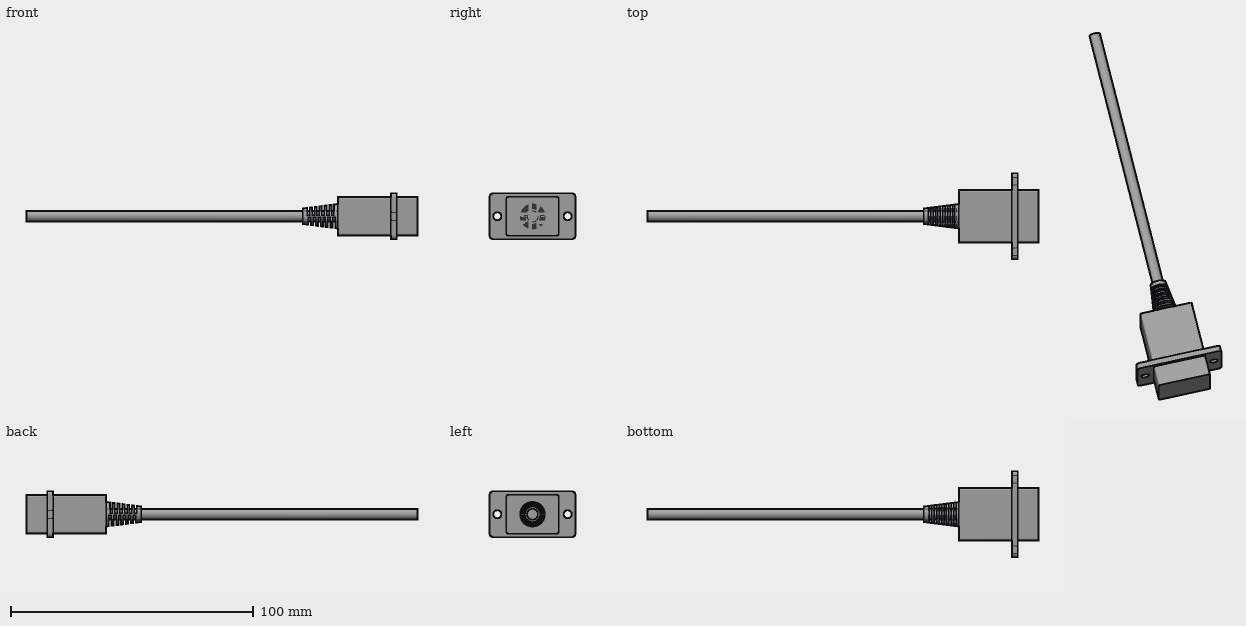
import cadquery as cq

TOTAL_LENGTH = 161.5
HOUSING_LENGTH = 33.0
BOOT_LENGTH = 14.5
HOUSING_START = TOTAL_LENGTH - HOUSING_LENGTH
BOOT_START = HOUSING_START - BOOT_LENGTH

CABLE_DIAMETER = 4.5

BOOT_TIP_DIAMETER = 6.5
BOOT_BASE_DIAMETER = 10.2
SLOT_COUNT = 6
SLOT_WIDTH = 1.0
SLOT_PITCH = 2 * SLOT_WIDTH
LOWER_SLOT_SHIFT = SLOT_WIDTH / 2
FIRST_SLOT_OFFSET = 2.0
WEB_THICKNESS = SLOT_WIDTH

HOUSING_WIDTH = 21.8
HOUSING_HEIGHT = 16.0
HOUSING_EDGE_RADIUS = 1.0

FLANGE_THICKNESS = 2.5
FLANGE_OFFSET = 22.0
FLANGE_WIDTH = 35.5
FLANGE_HEIGHT = 19.0
FLANGE_CORNER_RADIUS = 1.6
SCREW_HOLE_DIAMETER = 3.2
SCREW_HOLE_SPACING = 29.0


def plane_across_cable(x):
    """Plane at x, square to the cable axis, extruding toward +X."""
    return cq.Workplane("YZ", origin=(x, 0, 0))


def make_cable():
    """Plain round cable that runs through the boot and ends at the housing."""
    return plane_across_cable(0).circle(CABLE_DIAMETER / 2).extrude(HOUSING_START)


def boot_slot(x, side):
    """Slot above (side = 1) or below (side = -1) the web, open down to the cable."""
    slot_height = BOOT_BASE_DIAMETER
    slot_center_height = (WEB_THICKNESS + slot_height) / 2
    return (
        plane_across_cable(x)
        .center(0, side * slot_center_height)
        .rect(2 * BOOT_BASE_DIAMETER, slot_height)
        .extrude(SLOT_WIDTH)
    )


def make_boot():
    """Tapered sleeve on the cable, with staggered upper and lower slots on each side of a flat web."""
    profile = [
        (BOOT_START, CABLE_DIAMETER / 2),
        (BOOT_START, BOOT_TIP_DIAMETER / 2),
        (HOUSING_START, BOOT_BASE_DIAMETER / 2),
        (HOUSING_START, CABLE_DIAMETER / 2),
    ]
    boot = cq.Workplane("XY").polyline(profile).close().revolve(360, (0, 0, 0), (1, 0, 0))
    for index in range(SLOT_COUNT):
        slot_start = BOOT_START + FIRST_SLOT_OFFSET + index * SLOT_PITCH
        boot = boot.cut(boot_slot(slot_start, 1))
        boot = boot.cut(boot_slot(slot_start + LOWER_SLOT_SHIFT, -1))
    return boot


def make_housing():
    """Rectangular connector block with a two-hole mounting flange."""
    block = (
        plane_across_cable(HOUSING_START)
        .rect(HOUSING_WIDTH, HOUSING_HEIGHT)
        .extrude(HOUSING_LENGTH)
        .edges("|X")
        .fillet(HOUSING_EDGE_RADIUS)
    )
    flange = (
        plane_across_cable(HOUSING_START + FLANGE_OFFSET)
        .rect(FLANGE_WIDTH, FLANGE_HEIGHT)
        .extrude(FLANGE_THICKNESS)
        .edges("|X")
        .fillet(FLANGE_CORNER_RADIUS)
        .faces("<X")
        .workplane(centerOption="CenterOfBoundBox")
        .rarray(SCREW_HOLE_SPACING, 1.6, 2, 1)
        .hole(SCREW_HOLE_DIAMETER)
    )
    return block.union(flange)


cable = make_cable()
boot = make_boot()
housing = make_housing()

result = cq.Compound.makeCompound([cable.val(), boot.val(), housing.val()])